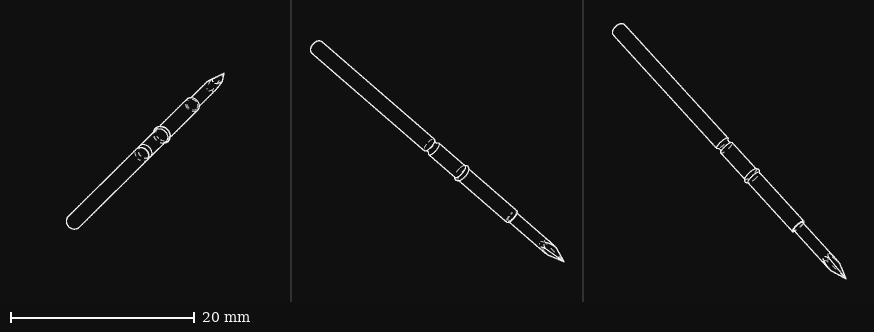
import cadquery as cq

overall_length = 38.4

body_radius = 0.85
body_length = 30.37
tail_fillet = 0.45

collar_radius = 1.0
collar_start = 22.43
collar_width = 0.5

groove_centre = 18.05
groove_width = 0.7
groove_depth = 0.2

needle_radius = 0.65
point_side_length = 1.85
point_ridge_length = 2.88


def rod(radius, start, end):
    """Solid cylinder round the Y axis from start to end."""
    return cq.Workplane("XZ", origin=(0, start, 0)).circle(radius).extrude(start - end)


def make_body():
    return rod(body_radius, 0, body_length).faces("<Y").edges().fillet(tail_fillet)


def make_collar():
    """Ring whose outer surface bulges from the body surface up to the collar radius."""
    collar_end = collar_start + collar_width
    return (
        cq.Workplane("XY")
        .moveTo(0, collar_start)
        .lineTo(body_radius, collar_start)
        .threePointArc((collar_radius, collar_start + collar_width / 2), (body_radius, collar_end))
        .lineTo(0, collar_end)
        .close()
        .revolve(360, (0, 0, 0), (0, 1, 0))
    )


def make_groove():
    """Ring-shaped cutter with a rounded bottom."""
    half_width = groove_width / 2
    return (
        cq.Workplane("XY")
        .moveTo(body_radius, groove_centre - half_width)
        .threePointArc(
            (body_radius - groove_depth, groove_centre),
            (body_radius, groove_centre + half_width),
        )
        .close()
        .revolve(360, (0, 0, 0), (0, 1, 0))
    )


def make_point_envelope():
    """Diamond pyramid whose apex is the needle tip and whose base lies in the front face of the body."""
    height = overall_length - body_length
    half_width = needle_radius * height / point_side_length
    half_height = needle_radius * height / point_ridge_length
    apex = cq.Vector(0, overall_length, 0)
    corners = [
        cq.Vector(half_width, body_length, 0),
        cq.Vector(0, body_length, half_height),
        cq.Vector(-half_width, body_length, 0),
        cq.Vector(0, body_length, -half_height),
    ]
    outlines = [corners]
    for first, second in zip(corners, corners[1:] + corners[:1]):
        outlines.append([first, second, apex])
    faces = [cq.Face.makeFromWires(cq.Wire.makePolygon(points, close=True)) for points in outlines]
    return cq.Workplane(obj=cq.Solid.makeSolid(cq.Shell.makeShell(faces)))


def make_needle():
    """Round rod standing on the body and trimmed to a four-sided point."""
    return rod(needle_radius, body_length, overall_length).intersect(make_point_envelope())


result = make_body().union(make_collar()).cut(make_groove()).union(make_needle())